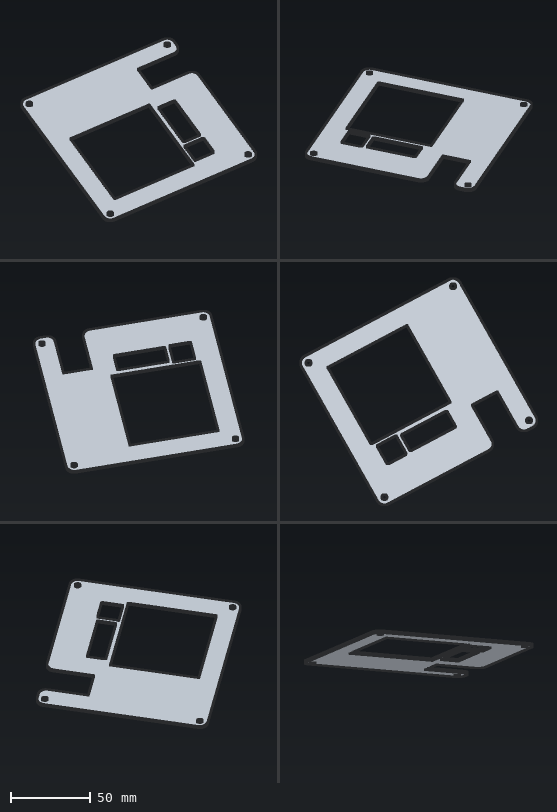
import cadquery as cq

plate_length = 114.2
plate_width = 110.0
plate_thickness = 1.5
corner_radius = 5.0

hole_diameter = 3.4
hole_inset = corner_radius

slot_left = 13.6
slot_width = 18.2
slot_depth = 31.2
slot_mouth_radius = corner_radius

main_window_size = 57.1
main_window_left = 42.8
main_window_front = 13.5

wide_window_length = 33.0
wide_window_width = 12.1
wide_window_left = 47.5
wide_window_front = 74.4
wide_window_corner_radius = 0.7

small_window_size = 13.9
small_window_left = 83.4
small_window_front = 73.2
small_window_corner_radius = 1.0


def rectangular_cutter(left, front, length, width):
    """Block through the full plate thickness, placed by its lower left corner."""
    return cq.Workplane("XY").box(length, width, plate_thickness, centered=False).translate((left, front, 0))


def make_plate():
    plate = cq.Workplane("XY").box(plate_length, plate_width, plate_thickness, centered=False)
    return plate.edges("|Z").fillet(corner_radius)


def cut_mounting_holes(plate):
    hole_centers = [
        (x, y)
        for x in (hole_inset, plate_length - hole_inset)
        for y in (hole_inset, plate_width - hole_inset)
    ]
    holes = cq.Workplane("XY").pushPoints(hole_centers).circle(hole_diameter / 2).extrude(plate_thickness)
    return plate.cut(holes)


def cut_slot(plate):
    slot_right = slot_left + slot_width
    slot_bottom = plate_width - slot_depth
    slot = (
        cq.Workplane("XY")
        .moveTo(slot_left, slot_bottom)
        .lineTo(slot_right, slot_bottom)
        .lineTo(slot_right, plate_width - slot_mouth_radius)
        .radiusArc((slot_right + slot_mouth_radius, plate_width), slot_mouth_radius)
        .lineTo(slot_left - slot_mouth_radius, plate_width)
        .radiusArc((slot_left, plate_width - slot_mouth_radius), slot_mouth_radius)
        .close()
        .extrude(plate_thickness)
    )
    return plate.cut(slot)


def cut_windows(plate):
    main_window = rectangular_cutter(main_window_left, main_window_front, main_window_size, main_window_size)

    wide_window = rectangular_cutter(
        wide_window_left, wide_window_front, wide_window_length, wide_window_width
    )
    wide_window = wide_window.edges("|Z").fillet(wide_window_corner_radius)

    small_window = rectangular_cutter(
        small_window_left, small_window_front, small_window_size, small_window_size
    )
    small_window = small_window.faces(">Y").edges("|Z").fillet(small_window_corner_radius)

    return plate.cut(main_window).cut(wide_window).cut(small_window)


result = cut_windows(cut_slot(cut_mounting_holes(make_plate())))